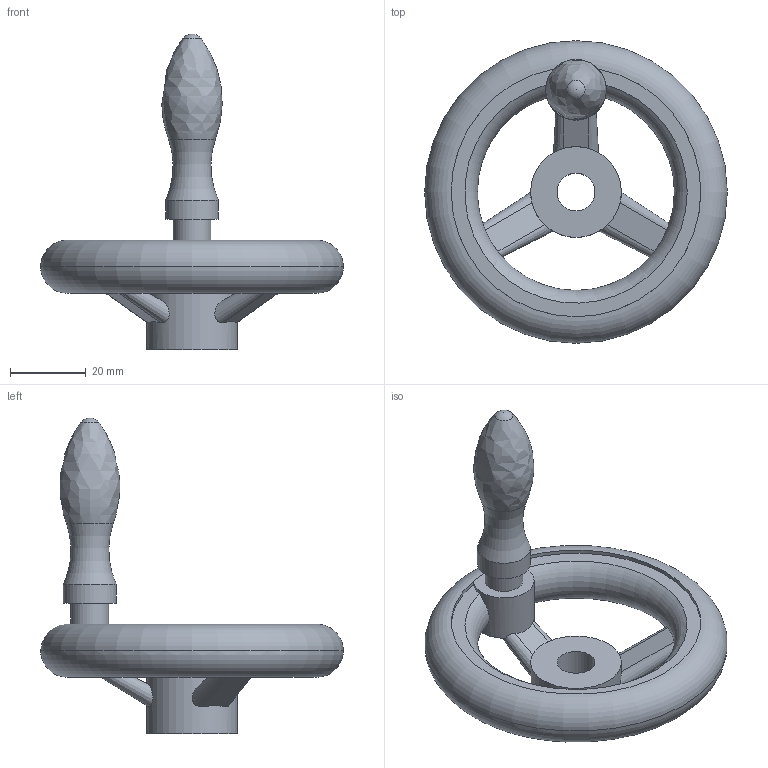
import cadquery as cq
import math

outer_diameter = 80.0
rim_section_radius = 7.0
rim_center_radius = outer_diameter / 2 - rim_section_radius
rim_mid_height = 22.0
rim_top = rim_mid_height + rim_section_radius
rim_step_depth = 1.0

hub_radius = 12.0
hub_height = 16.0
bore_radius = 5.0

spoke_count = 3
spoke_first_angle = 90.0
spoke_center_spacing = 6.6
spoke_inner_reach = 8.0
spoke_inner_height = 8.3
spoke_inner_radius = 2.8
spoke_outer_radius = 1.4

handle_offset = 27.0
boss_radius = 8.0
boss_bottom = 16.0

stem_radius = 5.0
collar_radius = 7.0
collar_bottom = 34.5
collar_top = 39.5
neck_radius = 5.0
neck_height = 48.6
belly_start_height = 55.6
belly_radius = 8.0
belly_height = 65.3
tip_radius = 2.4
tip_start_height = 82.4
tip_height = 83.49


def make_rim():
    ring = (
        cq.Workplane("XZ")
        .center(rim_center_radius, rim_mid_height)
        .circle(rim_section_radius)
        .revolve(360, (-rim_center_radius, 0, 0), (-rim_center_radius, 1, 0))
    )
    recess = (
        cq.Workplane("XY")
        .workplane(offset=rim_top - rim_step_depth)
        .circle(rim_center_radius)
        .extrude(2 * rim_step_depth)
    )
    return ring.cut(recess)


def make_hub():
    return cq.Workplane("XY").circle(hub_radius).extrude(hub_height)


def make_spoke(angle):
    run = rim_center_radius - spoke_inner_reach
    rise = rim_mid_height - spoke_inner_height
    section_plane = cq.Plane(
        origin=(spoke_inner_reach, 0, spoke_inner_height),
        xDir=(0, 1, 0),
        normal=(run, 0, rise),
    )
    spoke = (
        cq.Workplane(section_plane)
        .slot2D(spoke_center_spacing + 2 * spoke_inner_radius, 2 * spoke_inner_radius)
        .workplane(offset=math.hypot(run, rise))
        .slot2D(spoke_center_spacing + 2 * spoke_outer_radius, 2 * spoke_outer_radius)
        .loft(ruled=True)
    )
    return spoke.rotate((0, 0, 0), (0, 0, 1), angle)


def make_boss():
    boss_height = rim_top - boss_bottom
    base = cq.Workplane("XY").workplane(offset=boss_bottom)
    cylinder = base.center(0, handle_offset).circle(boss_radius).extrude(boss_height)
    crest_limit = base.circle(rim_center_radius).extrude(boss_height)
    return cylinder.intersect(crest_limit)


def make_handle():
    neck_rise = collar_radius - neck_radius
    neck_drop = neck_height - collar_top
    neck_arc_radius = (neck_drop**2 + neck_rise**2) / (2 * neck_rise)
    belly_start_rise = belly_start_height - neck_height
    belly_start_radius = neck_radius + neck_arc_radius - math.sqrt(neck_arc_radius**2 - belly_start_rise**2)

    cap_height = tip_height - tip_start_height
    cap_sphere_radius = (tip_radius**2 + cap_height**2) / (2 * cap_height)

    profile = (
        cq.Workplane("XZ")
        .moveTo(0, rim_mid_height)
        .lineTo(stem_radius, rim_mid_height)
        .lineTo(stem_radius, collar_bottom)
        .lineTo(collar_radius, collar_bottom)
        .lineTo(collar_radius, collar_top)
        .radiusArc((neck_radius, neck_height), neck_arc_radius)
        .radiusArc((belly_start_radius, belly_start_height), neck_arc_radius)
        .threePointArc((belly_radius, belly_height), (tip_radius, tip_start_height))
        .radiusArc((0, tip_height), -cap_sphere_radius)
        .close()
    )
    handle = profile.revolve(360, (0, 0, 0), (0, 1, 0))
    return handle.translate((0, handle_offset, 0))


wheel = make_rim().union(make_hub())
for index in range(spoke_count):
    wheel = wheel.union(make_spoke(spoke_first_angle + index * 360 / spoke_count))
wheel = wheel.union(make_boss()).union(make_handle())

bore = cq.Workplane("XY").circle(bore_radius).extrude(hub_height)
result = wheel.cut(bore)